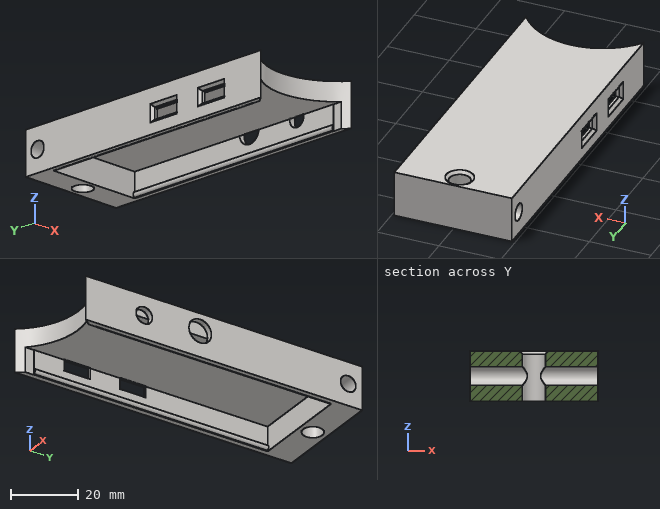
import cadquery as cq

width = 38.2
length = 98.6
height = 15.0

scoop_depth = 9.9
scoop_radius = ((width / 2) ** 2 + scoop_depth ** 2) / (2 * scoop_depth)

side_wall = 2.0
wall_step = 0.1
cavity_height = 8.5
step_y = 5.5
cavity_end_y = 88.8

rail_radius = 1.0
rail_projection = 0.6
rail_z = 1.2

rear_hole_y = length - 5.0
screw_diameter = 6.7
countersink_diameter = 8.7
countersink_angle = 90
cross_diameter = 5.4

front_opening_y = 20.9
opening_spacing = 19.9
window_length = 11.1
window_height = 5.9
window_bevel = 1.0
bevel_depth = 1.0
window_z = 6.8
front_port_diameter = 5.7
front_port_z = 8.0
rear_port_diameter = 8.0
rear_port_z = 8.9


def box(x_size, y_start, y_end, z_size):
    """Box centred on X that stands on Z = 0."""
    y_size = y_end - y_start
    return cq.Workplane("XY").box(x_size, y_size, z_size, centered=(True, False, False)).translate((0, y_start, 0))


def x_cylinder(diameter, x_start, x_size, y, z):
    """Cylinder running along +X from x_start."""
    return cq.Workplane("YZ", origin=(x_start, y, z)).circle(diameter / 2).extrude(x_size)


def window(y):
    """Cutter for a through window that narrows from the outer -X face."""
    outer = cq.Workplane("YZ", origin=(-width / 2, y, window_z))
    bevel = (
        outer.rect(window_length, window_height)
        .workplane(offset=bevel_depth)
        .rect(window_length - 2 * window_bevel, window_height - 2 * window_bevel)
        .loft(combine=True)
    )
    inner = outer.rect(window_length - 2 * window_bevel, window_height - 2 * window_bevel)
    return bevel.union(inner.extrude(side_wall + wall_step))


def rail(side):
    """Snap rail on the inner wall at the given side, -1 or 1."""
    inner_x = width / 2 - side_wall - wall_step
    center_x = side * (inner_x - rail_projection + rail_radius)
    return (
        cq.Workplane("XZ", origin=(center_x, step_y, rail_z))
        .circle(rail_radius)
        .extrude(step_y - cavity_end_y)
    )


body = box(width, 0, length, height)
scoop_center_y = scoop_depth - scoop_radius
body = body.cut(cq.Workplane("XY").center(0, scoop_center_y).circle(scoop_radius).extrude(height))

mouth_width = width - 2 * side_wall
body = body.cut(box(mouth_width, 0, step_y, cavity_height))
body = body.cut(box(mouth_width - 2 * wall_step, 0, cavity_end_y, cavity_height))
for side in (-1, 1):
    body = body.union(rail(side))

body = (
    body.faces(">Z").workplane(origin=(0, rear_hole_y, height))
    .cskHole(screw_diameter, countersink_diameter, countersink_angle)
)
body = body.cut(x_cylinder(cross_diameter, -width / 2, width, rear_hole_y, height / 2))

ports = (
    (front_opening_y, front_port_diameter, front_port_z),
    (front_opening_y + opening_spacing, rear_port_diameter, rear_port_z),
)
port_depth = side_wall + wall_step
for port_y, port_diameter, port_z in ports:
    body = body.cut(window(port_y))
    body = body.cut(x_cylinder(port_diameter, width / 2 - port_depth, port_depth, port_y, port_z))

result = body